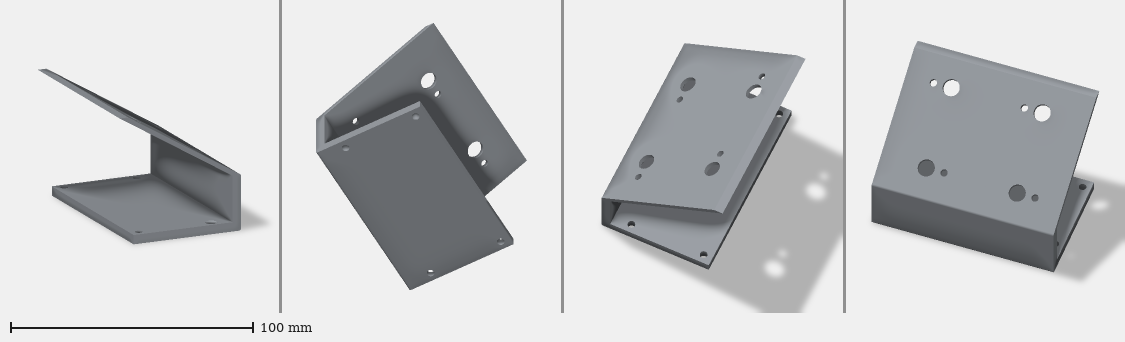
import cadquery as cq
import math

WIDTH = 80.0
WALL = 4.0
BASE_DEPTH = 49.0
INNER_WALL_HEIGHT = 20.0
BEND_RADIUS = 1.0

PLATE_LENGTH = 60.0
PLATE_ANGLE = 31.0
PLATE_THICKNESS = 2.0

LARGE_HOLE = 7.2
SMALL_HOLE = 3.0
LARGE_HOLE_X = (WIDTH / 4, 3 * WIDTH / 4)
SMALL_HOLE_OFFSET = 7.8
LOWER_ROW = 9.5
ROW_SPACING = 35.0

BASE_HOLE = 3.2
BASE_HOLE_SIDE_INSET = 3.6
BASE_HOLE_FRONT_INSET = 4.0
BASE_HOLE_SPACING = 33.0
COUNTERSINK = 5.2
COUNTERSINK_ANGLE = 90.0

slope = math.radians(PLATE_ANGLE)
bend_z = WALL + INNER_WALL_HEIGHT
tip_y = -WALL - PLATE_LENGTH * math.cos(slope)
tip_z = bend_z + PLATE_LENGTH * math.sin(slope)
top_width = PLATE_THICKNESS / math.sin(slope)
outer_bend_z = bend_z - WALL * math.tan(slope) + PLATE_THICKNESS / math.cos(slope)


def bracket_body():
    """Bent section extruded across the full width, with rounded outer bends."""
    profile = [
        (0, 0),
        (-BASE_DEPTH, 0),
        (-BASE_DEPTH, WALL),
        (-WALL, WALL),
        (-WALL, bend_z),
        (tip_y, tip_z),
        (tip_y + top_width, tip_z),
        (0, outer_bend_z),
    ]
    body = cq.Workplane("YZ").polyline(profile).close().extrude(WIDTH)
    lower_edge = cq.selectors.NearestToPointSelector((WIDTH / 2, 0, 0))
    upper_edge = cq.selectors.NearestToPointSelector((WIDTH / 2, 0, outer_bend_z))
    body = body.edges(lower_edge).fillet(BEND_RADIUS)
    return body.edges(upper_edge).fillet(BEND_RADIUS)


def plate_hole_cutters():
    """Cylinders normal to the inclined plate, two rows of large and small holes."""
    normal = (0, math.sin(slope), math.cos(slope))
    underside = cq.Plane(origin=(0, -WALL, bend_z), xDir=(1, 0, 0), normal=normal)
    lower_y = -LOWER_ROW
    upper_y = lower_y - ROW_SPACING
    large = [(x, y) for x in LARGE_HOLE_X for y in (lower_y, upper_y)]
    small = [(x - SMALL_HOLE_OFFSET, lower_y) for x in LARGE_HOLE_X]
    small += [(x + SMALL_HOLE_OFFSET, upper_y) for x in LARGE_HOLE_X]

    def cylinders(points, diameter):
        plane = cq.Workplane(underside)
        return plane.pushPoints(points).circle(diameter / 2).extrude(PLATE_THICKNESS, both=True)

    return cylinders(large, LARGE_HOLE).union(cylinders(small, SMALL_HOLE))


def base_hole_cutters():
    """Four vertical through holes, the back right one countersunk from above."""
    left_x = BASE_HOLE_SIDE_INSET
    right_x = WIDTH - BASE_HOLE_SIDE_INSET
    front_y = -BASE_DEPTH + BASE_HOLE_FRONT_INSET
    back_y = front_y + BASE_HOLE_SPACING
    points = [(x, y) for x in (left_x, right_x) for y in (front_y, back_y)]
    holes = cq.Workplane("XY").pushPoints(points).circle(BASE_HOLE / 2).extrude(WALL)
    half_angle = math.radians(COUNTERSINK_ANGLE / 2)
    sink_depth = (COUNTERSINK - BASE_HOLE) / 2 / math.tan(half_angle)
    sink = cq.Workplane(
        cq.Solid.makeCone(
            BASE_HOLE / 2,
            COUNTERSINK / 2,
            sink_depth,
            pnt=cq.Vector(right_x, back_y, WALL - sink_depth),
        )
    )
    return holes.union(sink)


result = bracket_body().cut(plate_hole_cutters()).cut(base_hole_cutters())